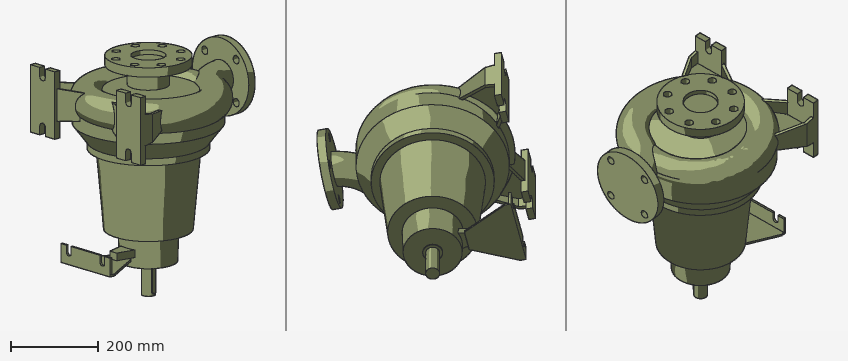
import cadquery as cq
import math


inlet_face_z = 100.0
inlet_flange_thickness = 22.0
shaft_end_z = inlet_face_z - 570
lid_top_z = 31.0
lid_rim_z = 8.5
casing_bottom_z = -59.0
ring_top_z = -104.5
ring_bottom_z = -121.0
frame_bottom_z = -313.0
neck_bottom_z = -389.0
collar_height = 2.0

inlet_flange_radius = 100.0
inlet_pipe_radius = 48.5
casing_radius = 174.5
ring_radius = 140.0
frame_top_radius = 120.0
frame_bottom_radius = 102.5
neck_top_radius = 69.5
neck_bottom_radius = 67.0
collar_radius = 23.0
shaft_radius = 16.0

inlet_bore_radius = 40.0
inlet_bore_depth = 11.0
inlet_bolt_circle_radius = 80.0
inlet_bolt_count = 8
bolt_hole_radius = 9.5

key_width = 10.0
key_length = 70.5
key_end_gap = 5.5
key_outer_x = 19.5

tube_radius = 40.0
volute_center_x = 9.0
volute_radius = 146.0
tongue_start_angle = 180
tongue_end_angle = 60
tongue_section_count = 5
tongue_end_tube_radius = 31.0
tongue_end_radius = 143.5

outlet_face_y = 249.5
outlet_flange_radius = 92.5
outlet_flange_thickness = 20.5
outlet_bolt_circle_radius = 72.5
outlet_bolt_count = 4

foot_face_y = -200.0
foot_thickness = 16.0
foot_outer_x = 180.0
foot_width = 80.0
foot_height = 161.0
foot_slot_width = 18.0
foot_slot_depth = 29.5

rib_thickness = 7.5
rib_bend_y = -162.0
outer_rib_end_y = -85.5
outer_rib_end_x = 142.5
inner_rib_end = (44.5, -157.0)
inner_rib_start_y = -188.5
rib_half_height_at_foot = 40.0
rib_half_height_at_end = 20.5
web_tip = (91.0, -125.5)

bracket_half_width = 80.5
bracket_bottom_z = -369.0
bracket_height = 45.0
bracket_sheet = 5.0
bracket_slot_x = 55.0
bracket_slot_width = 15.0
bracket_slot_depth = 24.0
bracket_taper_start_y = -186.5
bracket_tip_y = -79.0
bracket_tip_half_width = 25.0
block_outer_y = -112.0
block_inner_y = -57.0
block_outer_half_width = 11.5
block_inner_half_width = 24.0
block_height = 18.0


def turned_body():
    """Revolved inlet flange, inlet pipe, casing, bearing frame and shaft."""
    inlet_flange_bottom_z = inlet_face_z - inlet_flange_thickness
    collar_bottom_z = neck_bottom_z - collar_height
    profile = [
        (0, inlet_face_z),
        (inlet_flange_radius, inlet_face_z),
        (inlet_flange_radius, inlet_flange_bottom_z),
        (inlet_pipe_radius, inlet_flange_bottom_z),
        (inlet_pipe_radius, lid_top_z),
        (casing_radius, lid_rim_z),
        (casing_radius, casing_bottom_z),
        (ring_radius, ring_top_z),
        (ring_radius, ring_bottom_z),
        (frame_top_radius, ring_bottom_z),
        (frame_bottom_radius, frame_bottom_z),
        (neck_top_radius, frame_bottom_z),
        (neck_bottom_radius, neck_bottom_z),
        (collar_radius, neck_bottom_z),
        (collar_radius, collar_bottom_z),
        (shaft_radius, collar_bottom_z),
        (shaft_radius, shaft_end_z),
        (0, shaft_end_z),
    ]
    return cq.Workplane("XZ").polyline(profile).close().revolve(360, (0, 0), (0, 1))


def bolt_holes(face, circle_radius, count, depth):
    """Cutters for evenly spaced bolt holes that straddle the axes of the face."""
    return (
        face.polarArray(circle_radius, 180 / count, 360, count)
        .circle(bolt_hole_radius)
        .extrude(depth)
    )


def inlet_openings():
    """Shallow inlet bore and the bolt holes through the inlet flange."""
    face = cq.Workplane("XY").workplane(offset=inlet_face_z)
    bore = face.circle(inlet_bore_radius).extrude(-inlet_bore_depth)
    holes = bolt_holes(face, inlet_bolt_circle_radius, inlet_bolt_count, -inlet_flange_thickness)
    return bore.union(holes)


def shaft_key():
    center_z = shaft_end_z + key_end_gap + key_length / 2
    return (
        cq.Workplane("YZ")
        .center(0, center_z)
        .slot2D(key_length, key_width, 90)
        .extrude(key_outer_x)
    )


def volute_tube():
    """Round tube on an arc around the casing, then a reversed bend to the outlet.

    The bend is tangent to the arc and ends square to the outlet face at x = 0.
    """
    bend_radius = (outlet_face_y**2 + volute_center_x**2 - volute_radius**2) / (
        2 * (volute_radius + volute_center_x)
    )
    join_angle = math.atan2(outlet_face_y, bend_radius - volute_center_x)

    def arc_point(angle):
        return (
            volute_center_x + volute_radius * math.cos(angle),
            volute_radius * math.sin(angle),
        )

    bend_middle_angle = math.pi + join_angle / 2
    bend_middle = (
        bend_radius + bend_radius * math.cos(bend_middle_angle),
        outlet_face_y + bend_radius * math.sin(bend_middle_angle),
    )
    arc_start = arc_point(-math.pi)
    path = (
        cq.Workplane("XY")
        .moveTo(*arc_start)
        .threePointArc(arc_point((join_angle - math.pi) / 2), arc_point(join_angle))
        .threePointArc(bend_middle, (0, outlet_face_y))
    )
    section = cq.Workplane("XZ").center(arc_start[0], 0).circle(tube_radius)
    return section.sweep(path)


def tongue():
    """Shrinking end of the volute, running on from the tube and under the outlet bend."""
    start_radius = volute_radius - volute_center_x
    sections = []
    for index in range(tongue_section_count):
        progress = index / (tongue_section_count - 1)
        angle = math.radians(tongue_start_angle + progress * (tongue_end_angle - tongue_start_angle))
        center_radius = start_radius + progress * (tongue_end_radius - start_radius)
        section_radius = tube_radius + progress * (tongue_end_tube_radius - tube_radius)
        center = cq.Vector(center_radius * math.cos(angle), center_radius * math.sin(angle), 0)
        along = cq.Vector(math.sin(angle), -math.cos(angle), 0)
        sections.append(cq.Wire.makeCircle(section_radius, center, along))
    return cq.Workplane(cq.Solid.makeLoft(sections))


def outlet_flange():
    face = cq.Workplane("XZ", origin=(0, outlet_face_y, 0))
    disc = face.circle(outlet_flange_radius).extrude(outlet_flange_thickness)
    holes = bolt_holes(face, outlet_bolt_circle_radius, outlet_bolt_count, outlet_flange_thickness)
    return disc.cut(holes)


def edge_slot(x, edge_z, width, depth, direction, plate_thickness):
    """Cutter for a round-ended slot of a front plate, cut from an edge at edge_z.

    direction is -1 for a slot running down and 1 for one running up.
    """
    half = width / 2
    shoulder_z = edge_z + direction * (depth - half)
    return (
        cq.Workplane("XZ", origin=(0, foot_face_y, 0))
        .moveTo(x - half, edge_z)
        .lineTo(x - half, shoulder_z)
        .threePointArc((x, edge_z + direction * depth), (x + half, shoulder_z))
        .lineTo(x + half, edge_z)
        .close()
        .extrude(-plate_thickness)
    )


def foot():
    """Foot on the +X side: slotted plate, two tapering ribs and a level web."""
    foot_back_y = foot_face_y + foot_thickness
    foot_inner_x = foot_outer_x - foot_width
    foot_center_x = foot_outer_x - foot_width / 2
    half_height = foot_height / 2

    plate = cq.Workplane("XY").box(foot_width, foot_thickness, foot_height)
    plate = plate.translate((foot_center_x, foot_face_y + foot_thickness / 2, 0))
    for direction in (-1, 1):
        edge_z = -direction * half_height
        plate = plate.cut(
            edge_slot(foot_center_x, edge_z, foot_slot_width, foot_slot_depth, direction, foot_thickness)
        )

    outer_rib_line = [
        (foot_outer_x, foot_back_y),
        (foot_outer_x, rib_bend_y),
        (outer_rib_end_x, outer_rib_end_y),
    ]
    inner_rib_line = [(foot_inner_x, inner_rib_start_y), inner_rib_end]

    rise = outer_rib_end_y - rib_bend_y
    run = foot_outer_x - outer_rib_end_x
    rib_shift = rib_thickness * math.hypot(rise, run) / rise
    outer_rib_plan = outer_rib_line + [
        (outer_rib_end_x - rib_shift, outer_rib_end_y),
        (foot_outer_x - rib_thickness, rib_bend_y),
        (foot_outer_x - rib_thickness, foot_back_y),
    ]

    rib_x = inner_rib_end[0] - foot_inner_x
    rib_y = inner_rib_end[1] - inner_rib_start_y
    half_shift = rib_thickness / 2 * math.hypot(rib_x, rib_y) / abs(rib_x)
    inner_rib_plan = [(x, y - half_shift) for x, y in inner_rib_line]
    inner_rib_plan += [(x, y + half_shift) for x, y in reversed(inner_rib_line)]

    side_taper = (
        cq.Workplane("YZ")
        .polyline([
            (foot_face_y, rib_half_height_at_foot),
            (outer_rib_end_y, rib_half_height_at_end),
            (outer_rib_end_y, -rib_half_height_at_end),
            (foot_face_y, -rib_half_height_at_foot),
        ])
        .close()
        .extrude(foot_outer_x)
    )
    for plan in (outer_rib_plan, inner_rib_plan):
        upright_rib = cq.Workplane("XY").polyline(plan).close().extrude(rib_half_height_at_foot, both=True)
        plate = plate.union(upright_rib.intersect(side_taper))

    web_plan = outer_rib_line + [web_tip, inner_rib_end, (foot_inner_x, foot_back_y)]
    web = cq.Workplane("XY").polyline(web_plan).close().extrude(rib_thickness / 2, both=True)
    return plate.union(web)


def lower_bracket():
    """Folded sheet with an upright slotted flange, and the block tying it to the neck."""
    upright = (
        cq.Workplane("XY")
        .box(2 * bracket_half_width, bracket_sheet, bracket_height, centered=(True, False, False))
        .translate((0, foot_face_y, bracket_bottom_z))
    )
    top_z = bracket_bottom_z + bracket_height
    for x in (-bracket_slot_x, bracket_slot_x):
        upright = upright.cut(
            edge_slot(x, top_z, bracket_slot_width, bracket_slot_depth, -1, bracket_sheet)
        )
    sheet = (
        cq.Workplane("XY")
        .workplane(offset=bracket_bottom_z)
        .polyline([
            (-bracket_half_width, foot_face_y),
            (bracket_half_width, foot_face_y),
            (bracket_half_width, bracket_taper_start_y),
            (bracket_tip_half_width, bracket_tip_y),
            (-bracket_tip_half_width, bracket_tip_y),
            (-bracket_half_width, bracket_taper_start_y),
        ])
        .close()
        .extrude(bracket_sheet)
    )
    block = (
        cq.Workplane("XY")
        .workplane(offset=bracket_bottom_z + bracket_sheet)
        .polyline([
            (-block_outer_half_width, block_outer_y),
            (block_outer_half_width, block_outer_y),
            (block_inner_half_width, block_inner_y),
            (-block_inner_half_width, block_inner_y),
        ])
        .close()
        .extrude(block_height)
    )
    return upright.union(sheet).union(block)


right_foot = foot()
left_foot = right_foot.mirror("YZ")

result = (
    turned_body()
    .union(volute_tube())
    .union(tongue())
    .union(outlet_flange())
    .union(right_foot)
    .union(left_foot)
    .union(lower_bracket())
    .union(shaft_key())
    .cut(inlet_openings())
)